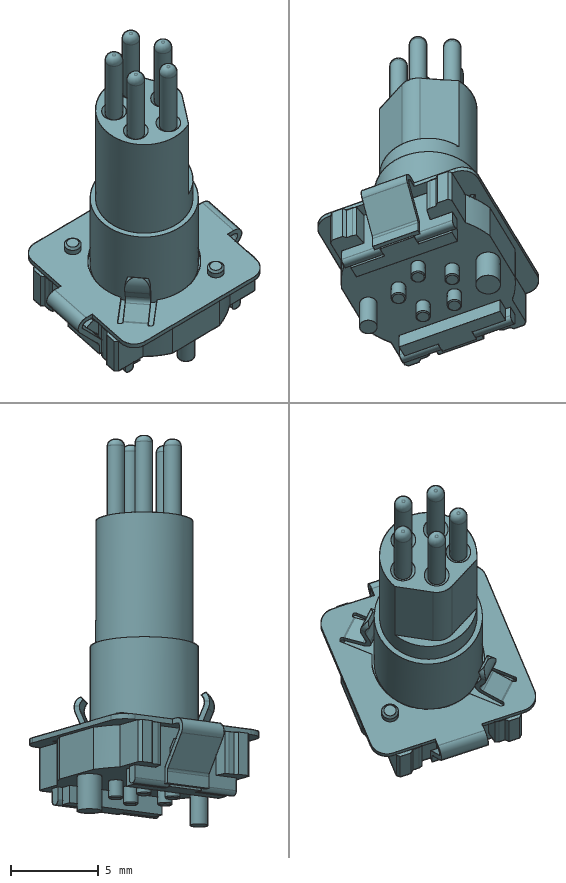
import cadquery as cq
import math

BODY_BOTTOM = 2.05
PLATE_BOTTOM = 4.5
PLATE_TOP = 4.82
SLEEVE_TOP = 9.99
KEY_BOTTOM = 11.53
INSERT_TOP = 17.34
PIN_TOP = 22.0
TAIL_BOTTOM = 1.03

SLEEVE_RADIUS = 3.1
INSERT_RADIUS = 2.8
KEY_APEX_Y = 2.68
KEY_SLOPE_DEG = 30.0
KEY_ROUNDING = 1.15

CONTACT_PLACES = [(0, 1.39), (-1.7, 0.4), (1.7, 0.4), (-1.0, -1.43), (1.0, -1.43)]
PIN_RADIUS = 0.5
PIN_ROUNDING = 0.42
TAIL_RADIUS = 0.42
TAIL_CHAMFER = 0.07
COUNTERSINK_RADIUS = 0.7

DRUM_RADIUS = 5.0
DRUM_HALF_WIDTH = 4.69
BLOCK_HALF_X = 3.83
BLOCK_HALF_Y = 5.04
RIB_HEIGHT = 0.18
RIB_INNER_X = 2.82
RIB_CHAMFER_X = 0.18
NOTCH_OUTER_X = 2.45
NOTCH_SHOULDER_X = 2.22
NOTCH_SHOULDER_DEPTH = 0.07
NOTCH_FLOOR_X = 2.1
NOTCH_FLOOR_Y = 4.25
HOOK_HALF_X = 1.08
HOOK_PROFILE = [(NOTCH_FLOOR_Y, 2.29), (NOTCH_FLOOR_Y, 3.3), (4.65, 3.78), (5.15, 3.5)]

FOOT_HALF_X = 3.5
FOOT_INNER_Y = 3.65
FOOT_ROUNDING = 0.26
RAIL_HALF_X = 3.2
RAIL_INNER_Y = 2.9

PEG_X = 3.78
LARGE_PEG_RADIUS = 0.7
SMALL_PEG_RADIUS = 0.5

SHEET = PLATE_TOP - PLATE_BOTTOM
PLATE_SIDE = 10.0
PLATE_CORNER = 1.0
PLATE_HOLE_RADIUS = 3.23
RIVET_PLACE = (3.3, 2.6)
RIVET_RADIUS = 0.48
RIVET_HEIGHT = 0.48
RIVET_CHAMFER = 0.13

CLIP_WIDTH = 2.85
CLIP_REACH = 6.05
CLIP_BEND_RADIUS = 0.45
CLIP_SLOPE_DEG = 53.0
CLIP_FACE_Y = 4.49
CLIP_BOTTOM = 1.17

FINGER_WIDTH = 1.45
FINGER_HINGE = 5.13
FINGER_TOP = 7.2
FINGER_TIP_ROUNDING = 0.64
FINGER_DIRECTIONS_DEG = (-45, 135)
FINGER_MOVES = [
    ("line", 0.13),
    ("bend", 0.33, -15),
    ("line", 1.2),
    ("bend", 0.42, -98),
    ("line", 0.7),
    ("bend", 0.75, 72),
]
SLOT_WIDTH = 0.3
SLOT_END = 5.15


def cylinder(radius, bottom, top, place=(0, 0)):
    return cq.Workplane("XY").workplane(offset=bottom).center(*place).circle(radius).extrude(top - bottom)


def block(x_range, y_range, z_range):
    """Box between the given lower and upper limits on each axis."""
    (x0, x1), (y0, y1), (z0, z1) = x_range, y_range, z_range
    return cq.Workplane("XY").box(x1 - x0, y1 - y0, z1 - z0, centered=False).translate((x0, y0, z0))


def with_opposite(shape):
    """The shape together with its copy turned half a turn about Z."""
    return shape.union(shape.rotate((0, 0, 0), (0, 0, 1), 180))


def polar(point, distance, angle_deg):
    angle = math.radians(angle_deg)
    return (point[0] + distance * math.cos(angle), point[1] + distance * math.sin(angle))


def bent_sheet(start, heading, moves, width):
    """Sheet-metal strip in the YZ plane, centred on X.

    The centre line leaves start at heading (degrees) and follows the moves: ("line", length) or
    ("bend", radius, angle), a positive angle turning anticlockwise.
    """
    half = SHEET / 2
    position = start
    left_path = [polar(start, half, heading + 90)]
    right_path = [polar(start, half, heading - 90)]
    arcs = []
    for kind, *sizes in moves:
        if kind == "line":
            position = polar(position, sizes[0], heading)
            arcs.append(False)
        else:
            radius, angle = sizes
            side = math.copysign(90, angle)
            centre = polar(position, radius, heading + side)
            middle = polar(centre, radius, heading + angle / 2 - side)
            left_path.append(polar(middle, half, heading + angle / 2 + 90))
            right_path.append(polar(middle, half, heading + angle / 2 - 90))
            heading += angle
            position = polar(centre, radius, heading - side)
            arcs.append(True)
        left_path.append(polar(position, half, heading + 90))
        right_path.append(polar(position, half, heading - 90))

    def follow(outline, path, arc_flags):
        points = iter(path)
        for is_arc in arc_flags:
            if is_arc:
                outline = outline.threePointArc(next(points), next(points))
            else:
                outline = outline.lineTo(*next(points))
        return outline

    outline = cq.Workplane("YZ").moveTo(*left_path[0])
    outline = follow(outline, left_path[1:], arcs)
    outline = outline.lineTo(*right_path[-1])
    outline = follow(outline, right_path[-2::-1], arcs[::-1])
    return outline.close().extrude(width / 2, both=True)


def make_insert():
    """Sleeve and contact carrier, its upper part keyed by two flats meeting in a rounded ridge."""
    sleeve = cylinder(SLEEVE_RADIUS, PLATE_BOTTOM, SLEEVE_TOP)
    carrier = cylinder(INSERT_RADIUS, SLEEVE_TOP, INSERT_TOP)
    half_width = SLEEVE_RADIUS
    side_y = KEY_APEX_Y - half_width * math.tan(math.radians(KEY_SLOPE_DEG))
    key = (
        cq.Workplane("XY").workplane(offset=KEY_BOTTOM)
        .moveTo(-half_width, -half_width)
        .lineTo(half_width, -half_width)
        .lineTo(half_width, side_y)
        .lineTo(0, KEY_APEX_Y)
        .lineTo(-half_width, side_y)
        .close()
        .extrude(INSERT_TOP - KEY_BOTTOM)
        .edges("|Z and >Y").fillet(KEY_ROUNDING)
    )
    key = key.union(block((-half_width, half_width), (-half_width, half_width), (SLEEVE_TOP, KEY_BOTTOM)))
    carrier = carrier.intersect(key)
    countersink = (
        cq.Workplane("XY").workplane(offset=INSERT_TOP)
        .pushPoints(CONTACT_PLACES).circle(COUNTERSINK_RADIUS)
        .extrude(PIN_RADIUS - COUNTERSINK_RADIUS, taper=45)
    )
    return sleeve.union(carrier).cut(countersink)


def make_contacts():
    """Round-nosed pins, each with a solder tail in line below."""
    contacts = cq.Workplane("XY")
    for place in CONTACT_PLACES:
        pin = cylinder(PIN_RADIUS, SLEEVE_TOP, PIN_TOP, place).faces(">Z").edges().fillet(PIN_ROUNDING)
        tail = cylinder(TAIL_RADIUS, TAIL_BOTTOM, PLATE_BOTTOM, place)
        contacts = contacts.union(pin).union(tail.faces("<Z").edges().chamfer(TAIL_CHAMFER))
    return contacts


def make_housing():
    """Flat-sided drum joined to a ribbed block, with a hooked notch behind each clip."""
    height = PLATE_BOTTOM - BODY_BOTTOM
    levels = (BODY_BOTTOM, PLATE_BOTTOM)
    flats = block((-DRUM_HALF_WIDTH, DRUM_HALF_WIDTH), (-DRUM_RADIUS, DRUM_RADIUS), levels)
    housing = cylinder(DRUM_RADIUS, *levels).intersect(flats)
    housing = housing.union(block((-BLOCK_HALF_X, BLOCK_HALF_X), (-BLOCK_HALF_Y, BLOCK_HALF_Y), levels))

    base = cq.Workplane("XY").workplane(offset=BODY_BOTTOM)
    notch_half = [
        (NOTCH_OUTER_X, BLOCK_HALF_Y + RIB_HEIGHT),
        (NOTCH_OUTER_X, BLOCK_HALF_Y),
        (NOTCH_SHOULDER_X, BLOCK_HALF_Y - NOTCH_SHOULDER_DEPTH),
        (NOTCH_FLOOR_X, NOTCH_FLOOR_Y),
    ]
    notch = base.polyline(notch_half + [(-x, y) for x, y in reversed(notch_half)]).close().extrude(height)
    hook = cq.Workplane("YZ").polyline(HOOK_PROFILE).close().extrude(HOOK_HALF_X, both=True)
    rib = base.polyline([
        (RIB_INNER_X, BLOCK_HALF_Y),
        (RIB_INNER_X + RIB_CHAMFER_X, BLOCK_HALF_Y + RIB_HEIGHT),
        (BLOCK_HALF_X - RIB_CHAMFER_X, BLOCK_HALF_Y + RIB_HEIGHT),
        (BLOCK_HALF_X, BLOCK_HALF_Y),
    ]).close().extrude(height)
    ribs = rib.union(rib.mirror("YZ"))
    return housing.cut(with_opposite(notch)).union(with_opposite(ribs.union(hook)))


def make_feet():
    """Rounded feet, square in the middle below the hook, each backed by a plain rail."""
    levels = (TAIL_BOTTOM, BODY_BOTTOM)
    foot = block((-FOOT_HALF_X, FOOT_HALF_X), (FOOT_INNER_Y, NOTCH_FLOOR_Y), levels)
    foot = foot.faces("<Z").edges("|X").fillet(FOOT_ROUNDING)
    foot = foot.union(block((-HOOK_HALF_X, HOOK_HALF_X), (FOOT_INNER_Y, NOTCH_FLOOR_Y), levels))
    rail = block((-RAIL_HALF_X, RAIL_HALF_X), (RAIL_INNER_Y, FOOT_INNER_Y), levels)
    return with_opposite(foot.union(rail))


def make_pegs():
    """Two locating pegs of different size, so that the part fits only one way round."""
    large = cylinder(LARGE_PEG_RADIUS, 0, BODY_BOTTOM, (-PEG_X, 0))
    small = cylinder(SMALL_PEG_RADIUS, 0, BODY_BOTTOM, (PEG_X, 0))
    return large.union(small)


def make_plate():
    """Shield plate with its sleeve hole and the windows left by the two fingers."""
    plate = (
        cq.Workplane("XY").workplane(offset=PLATE_BOTTOM)
        .rect(PLATE_SIDE, PLATE_SIDE).extrude(SHEET)
        .edges("|Z").fillet(PLATE_CORNER)
        .cut(cylinder(PLATE_HOLE_RADIUS, PLATE_BOTTOM, PLATE_TOP))
    )
    levels = (PLATE_BOTTOM, PLATE_TOP)
    window = block((0, FINGER_HINGE), (-FINGER_WIDTH / 2, FINGER_WIDTH / 2), levels)
    slot_offset = (FINGER_WIDTH + SLOT_WIDTH) / 2
    slots = (
        cq.Workplane("XY").workplane(offset=PLATE_BOTTOM)
        .pushPoints([(SLOT_END / 2, -slot_offset), (SLOT_END / 2, slot_offset)])
        .slot2D(SLOT_END, SLOT_WIDTH).extrude(SHEET)
    )
    for direction in FINGER_DIRECTIONS_DEG:
        plate = plate.cut(window.union(slots).rotate((0, 0, 0), (0, 0, 1), direction))
    return plate


def make_rivets():
    """Chamfered rivet heads holding the plate at two opposite corners."""
    rivet = cylinder(RIVET_RADIUS, PLATE_BOTTOM, PLATE_TOP + RIVET_HEIGHT, RIVET_PLACE)
    return with_opposite(rivet.faces(">Z").edges().chamfer(RIVET_CHAMFER))


def make_clips():
    """Plate tabs rolled over and led back down onto the notch floors."""
    half = SHEET / 2
    start_y = PLATE_SIDE / 2 - SHEET
    bend_y = CLIP_REACH - half - CLIP_BEND_RADIUS
    roll = 180 - CLIP_SLOPE_DEG
    centre = (bend_y, PLATE_TOP - half - CLIP_BEND_RADIUS)
    roll_end = polar(centre, CLIP_BEND_RADIUS, 90 - roll)
    inner_y = CLIP_FACE_Y - half
    slope_run = roll_end[0] - inner_y
    slope = math.radians(CLIP_SLOPE_DEG)
    foot_turn = 90 - CLIP_SLOPE_DEG
    tangent = CLIP_BEND_RADIUS * math.tan(math.radians(foot_turn / 2))
    slope_length = slope_run / math.cos(slope) - tangent
    foot_length = roll_end[1] - slope_run * math.tan(slope) - tangent - CLIP_BOTTOM
    moves = [
        ("line", bend_y - start_y),
        ("bend", CLIP_BEND_RADIUS, -roll),
        ("line", slope_length),
        ("bend", CLIP_BEND_RADIUS, foot_turn),
        ("line", foot_length),
    ]
    return with_opposite(bent_sheet((start_y, PLATE_TOP - half), 0, moves, CLIP_WIDTH))


def make_fingers():
    """Spring fingers lifted out of the plate, bent up along the sleeve and curled at the tip."""
    start = (FINGER_HINGE, PLATE_TOP - SHEET / 2)
    strip = bent_sheet(start, 180, FINGER_MOVES, FINGER_WIDTH)
    half_width = FINGER_WIDTH / 2
    rounded_front = block((-half_width, half_width), (0, FINGER_HINGE), (0, FINGER_TOP))
    rounded_front = rounded_front.faces(">Z").edges("|Y").fillet(FINGER_TIP_ROUNDING)
    strip = strip.intersect(rounded_front)
    fingers = cq.Workplane("XY")
    for direction in FINGER_DIRECTIONS_DEG:
        fingers = fingers.union(strip.rotate((0, 0, 0), (0, 0, 1), direction - 90))
    return fingers


result = make_insert()
for make_feature in (
    make_contacts,
    make_housing,
    make_feet,
    make_pegs,
    make_plate,
    make_rivets,
    make_clips,
    make_fingers,
):
    result = result.union(make_feature())